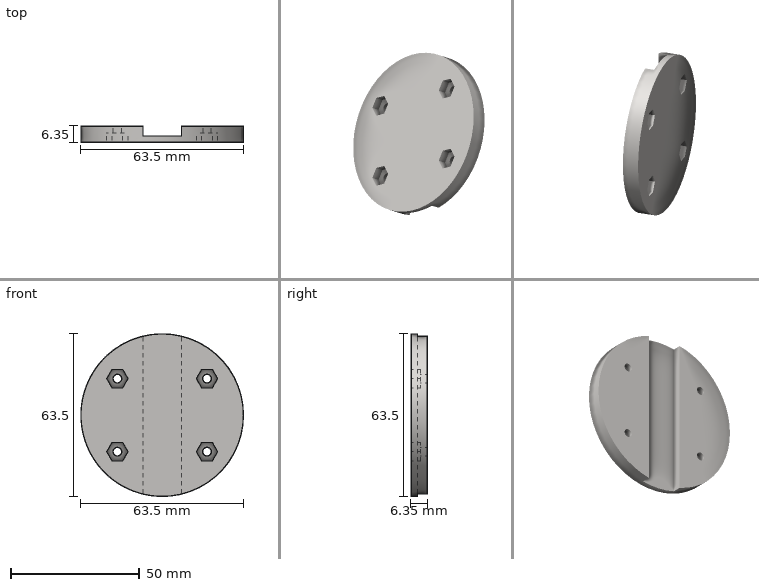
import cadquery as cq

disc_diameter = 63.5
disc_thickness = 6.35

channel_width = 14.9
channel_depth = 3.8

hole_diameter = 3.3
hole_spacing_x = 35.0
hole_spacing_z = 28.5
nut_across_corners = 8.3
nut_pocket_depth = 3.6


def front_plane():
    """Front face plane, with its normal pointing into the disc along +Y."""
    return cq.Workplane(cq.Plane(origin=(0, 0, 0), xDir=(1, 0, 0), normal=(0, 1, 0)))


def at_screw_positions():
    return front_plane().rarray(hole_spacing_x, hole_spacing_z, 2, 2)


disc = front_plane().circle(disc_diameter / 2).extrude(disc_thickness)

channel = cq.Workplane("XY").box(channel_width, channel_depth, disc_diameter, centered=(True, False, True))
channel = channel.translate((0, disc_thickness - channel_depth, 0))

screw_holes = at_screw_positions().circle(hole_diameter / 2).extrude(disc_thickness)
nut_pockets = at_screw_positions().polygon(6, nut_across_corners).extrude(nut_pocket_depth)

result = disc.cut(channel).cut(screw_holes).cut(nut_pockets)